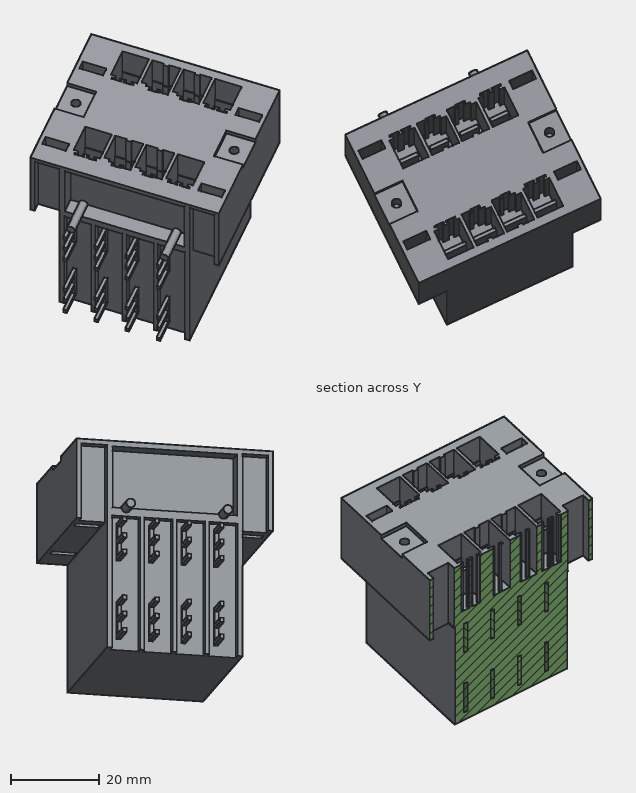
import cadquery as cq

HEIGHT = 48.9
HEAD_WIDTH = 45.85
BODY_WIDTH = 31.7
DEPTH = 38.7
PRONG_REACH = 4.5
HEAD_HEIGHT = 18.8
WALL = 1.1
FRONT = -DEPTH / 2
TIP = FRONT - PRONG_REACH

WING_POCKET_DEPTH = 2.15
PANEL_WIDTH = 29.1
PANEL_TOP_WALL = 1.3
PANEL_HEIGHT = 14.43
PANEL_DEPTH = 3.65
CHANNEL_WIDTH = 6.6
CHANNEL_TOP_DROP = 17.65
CHANNEL_DEPTH = 1.75

PIN_DIAMETER = 2.05

NOTCH_LENGTH = 7.95
NOTCH_DEPTH = WALL
SCREW_HOLE_X = 19.25
SCREW_HOLE_DIAMETER = 2.15
SCREW_HOLE_DEPTH = 4.9

COLUMN_COUNT = 4
COLUMN_PITCH = 7.6
COLUMN_XS = [(i - (COLUMN_COUNT - 1) / 2) * COLUMN_PITCH for i in range(COLUMN_COUNT)]
REAR_ROW_Y = 17.15
ROW_PITCH = 23.6
FRONT_ROW_Y = REAR_ROW_Y - ROW_PITCH
ROW_YS = [FRONT_ROW_Y, REAR_ROW_Y]

SLOT_X = 18.95
SLOT_LENGTH = 5.75
SLOT_WIDTH = 2.15
SLOT_SETBACK = 7.1

SOCKET_DEPTH = 14.65
LEDGE_DROP = 7.35
LEDGE_WIDTH = 0.2
END_OUTER_X = -3.15
END_INNER_X = 3.33
END_OUTER_Y = -7.3
MIDDLE_HALF_WIDTH = 3.4
SHELF_X = -2.15
SHELF_Y = -6.9
STEP_X = 1.5
STEP_Y = -8.15
FLOOR_Y = -7.55
KEY_WIDTH = 1.25
KEY_DEPTH = 0.45

NECK_WIDTH = 1.25
FOOT_WIDTH = 2.35
FOOT_TOP_Y = -7.95
FOOT_BOTTOM_Y = -8.35
END_KEYWAY_X = 1.35
END_FOOT_SHIFT = 0.1

SHEET = 0.9
BLADE_SETBACK = 3.4
FRONT_BLADE_WIDTH = 4.5
REAR_BLADE_WIDTH = 5.95
BLADE_TOP_Z = HEIGHT - LEDGE_DROP
FORK_X = -1.4
PRONG_COUNT = 3
PRONG_PITCH = 3.85
PRONG_THICKNESS = 1.0
FORK_HEIGHT = (PRONG_COUNT - 1) * PRONG_PITCH + PRONG_THICKNESS
UPPER_FORK_TOP_Z = 29.85
FORK_SPACING = 18.55
WEB_SETBACK = 0.7


def block(x_range, y_range, z_range):
    """Box between the given limits along each axis."""
    x0, x1 = x_range
    y0, y1 = y_range
    z0, z1 = z_range
    return cq.Workplane("XY").box(x1 - x0, y1 - y0, z1 - z0, centered=False).translate((x0, y0, z0))


def centred(middle, size):
    """Limits of a stretch with the given middle and size."""
    return (middle - size / 2, middle + size / 2)


def outer_block():
    """Body with the wider head on top, flush at front and back."""
    body = block(centred(0, BODY_WIDTH), centred(0, DEPTH), (0, HEIGHT))
    head = block(centred(0, HEAD_WIDTH), centred(0, DEPTH), (HEIGHT - HEAD_HEIGHT, HEIGHT))
    return body.union(head)


def front_recesses():
    """Wing pockets, the wide panel recess and the four contact channels."""
    panel_top = HEIGHT - PANEL_TOP_WALL
    cuts = block(
        centred(0, PANEL_WIDTH), (FRONT, FRONT + PANEL_DEPTH), (panel_top - PANEL_HEIGHT, panel_top)
    )
    pocket_y = (FRONT, FRONT + WING_POCKET_DEPTH)
    pocket_z = (HEIGHT - HEAD_HEIGHT, HEIGHT - WALL)
    inner_x = BODY_WIDTH / 2
    outer_x = HEAD_WIDTH / 2 - WALL
    for pocket_x in [(-outer_x, -inner_x), (inner_x, outer_x)]:
        cuts = cuts.union(block(pocket_x, pocket_y, pocket_z))
    for x in COLUMN_XS:
        channel = block(
            centred(x, CHANNEL_WIDTH), (FRONT, FRONT + CHANNEL_DEPTH), (0, HEIGHT - CHANNEL_TOP_DROP)
        )
        cuts = cuts.union(channel)
    return cuts


def locating_pins():
    """Round pins along the bottom edge of the panel recess, above the outer columns."""
    pin_z = HEIGHT - PANEL_TOP_WALL - PANEL_HEIGHT
    return (
        cq.Workplane("XZ", origin=(0, TIP, pin_z))
        .pushPoints([(COLUMN_XS[0], 0), (COLUMN_XS[-1], 0)])
        .circle(PIN_DIAMETER / 2)
        .extrude(-(PRONG_REACH + PANEL_DEPTH))
    )


def mounting_notches():
    """Shallow notch with a blind screw hole on each side of the head."""
    floor_z = HEIGHT - NOTCH_DEPTH
    cuts = (
        cq.Workplane("XY", origin=(0, 0, floor_z))
        .pushPoints([(-SCREW_HOLE_X, 0), (SCREW_HOLE_X, 0)])
        .circle(SCREW_HOLE_DIAMETER / 2)
        .extrude(-SCREW_HOLE_DEPTH)
    )
    inner_x = BODY_WIDTH / 2
    outer_x = HEAD_WIDTH / 2
    for notch_x in [(-outer_x, -inner_x), (inner_x, outer_x)]:
        cuts = cuts.union(block(notch_x, centred(0, NOTCH_LENGTH), (floor_z, HEIGHT)))
    return cuts


def wing_slots():
    """Rectangular slots straight down through the wings."""
    centres = [(x, y - SLOT_SETBACK) for x in (-SLOT_X, SLOT_X) for y in ROW_YS]
    return cq.Workplane("XY").pushPoints(centres).rect(SLOT_LENGTH, SLOT_WIDTH).extrude(HEIGHT)


def prism(points, z_range):
    """Closed outline extruded upward between two heights."""
    z0, z1 = z_range
    return cq.Workplane("XY").workplane(offset=z0).polyline(points).close().extrude(z1 - z0)


def keyway(x, foot_shift, z_range):
    """T-shaped groove in the front wall of a socket."""
    neck = block(centred(x, NECK_WIDTH), (FOOT_BOTTOM_Y, FLOOR_Y), z_range)
    foot = block(centred(x + foot_shift, FOOT_WIDTH), (FOOT_BOTTOM_Y, FOOT_TOP_Y), z_range)
    return neck.union(foot)


def end_socket(back_y, z_range):
    """Socket of the leftmost column, with two keyways."""
    corner_x = -END_KEYWAY_X - NECK_WIDTH / 2
    outline = [
        (END_OUTER_X, back_y),
        (END_INNER_X, back_y),
        (END_INNER_X, FLOOR_Y),
        (corner_x, FLOOR_Y),
        (corner_x, END_OUTER_Y),
        (END_OUTER_X, END_OUTER_Y),
    ]
    socket = prism(outline, z_range)
    for side in (-1, 1):
        socket = socket.union(keyway(side * END_KEYWAY_X, side * END_FOOT_SHIFT, z_range))
    return socket


def middle_socket(back_y, z_range):
    """Socket of an inner column, with a key on its back wall and one keyway."""
    outline = [
        (-MIDDLE_HALF_WIDTH, back_y),
        (-KEY_WIDTH / 2, back_y),
        (-KEY_WIDTH / 2, back_y - KEY_DEPTH),
        (KEY_WIDTH / 2, back_y - KEY_DEPTH),
        (KEY_WIDTH / 2, back_y),
        (MIDDLE_HALF_WIDTH, back_y),
        (MIDDLE_HALF_WIDTH, STEP_Y),
        (STEP_X, STEP_Y),
        (STEP_X, FLOOR_Y),
        (SHELF_X, FLOOR_Y),
        (SHELF_X, SHELF_Y),
        (-MIDDLE_HALF_WIDTH, SHELF_Y),
    ]
    return prism(outline, z_range).union(keyway(0, 0, z_range))


def stepped(socket):
    """Full-depth socket with a narrow ledge partway down its back wall."""
    ledge_z = HEIGHT - LEDGE_DROP
    upper = socket(0, (ledge_z, HEIGHT))
    lower = socket(-LEDGE_WIDTH, (HEIGHT - SOCKET_DEPTH, ledge_z))
    return upper.union(lower)


def make_housing(contacts):
    """Housing with its pins, hollowed where the contacts run through it."""
    housing = outer_block().cut(front_recesses()).cut(mounting_notches()).cut(wing_slots())
    left_end = stepped(end_socket)
    middle = stepped(middle_socket)
    right_end = left_end.mirror("YZ")
    sockets = [left_end, middle, middle, right_end]
    for y in ROW_YS:
        for x, socket in zip(COLUMN_XS, sockets):
            housing = housing.cut(socket.translate((x, y, 0)))
    housing = housing.union(locating_pins())
    for contact in contacts:
        housing = housing.cut(contact)
    return housing


def make_contact(column_x, row_y, blade_width, fork_top_z):
    """Upright blade joined at its foot to a flat web that ends in the three prongs."""
    blade_y = row_y - BLADE_SETBACK
    fork_bottom_z = fork_top_z - FORK_HEIGHT
    fork_x = centred(column_x + FORK_X, SHEET)
    web_front = FRONT + WEB_SETBACK
    blade = block(centred(column_x, blade_width), centred(blade_y, SHEET), (fork_bottom_z, BLADE_TOP_Z))
    contact = blade.union(block(fork_x, (web_front, blade_y), (fork_bottom_z, fork_top_z)))
    for i in range(PRONG_COUNT):
        prong_top = fork_top_z - i * PRONG_PITCH
        prong = block(fork_x, (TIP, web_front), (prong_top - PRONG_THICKNESS, prong_top))
        contact = contact.union(prong)
    return contact


contacts = []
for column_x in COLUMN_XS:
    contacts.append(make_contact(column_x, FRONT_ROW_Y, FRONT_BLADE_WIDTH, UPPER_FORK_TOP_Z))
    contacts.append(make_contact(column_x, REAR_ROW_Y, REAR_BLADE_WIDTH, UPPER_FORK_TOP_Z - FORK_SPACING))

housing = make_housing(contacts)

result = cq.Compound.makeCompound([housing.val(), *[contact.val() for contact in contacts]])